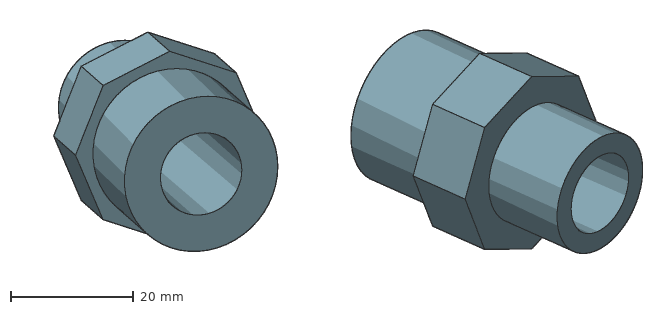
import cadquery as cq

total_length = 43.0
spigot_length = 15.05
collar_length = 11.5
socket_length = total_length - spigot_length - collar_length

spigot_diameter = 20.95
socket_diameter = 26.45
bore_diameter = 14.0
collar_across_corners = 32.45
collar_sides = 8

collar_start = spigot_length
collar_end = collar_start + collar_length


def section_plane(x):
    """Plane across the axis at position x, facing +X."""
    return cq.Workplane("YZ", origin=(x, 0, 0))


spigot = section_plane(0).circle(spigot_diameter / 2).extrude(spigot_length)

collar = section_plane(collar_start).polygon(collar_sides, collar_across_corners).extrude(collar_length)

socket = section_plane(collar_end).circle(socket_diameter / 2).extrude(socket_length)

bore = section_plane(0).circle(bore_diameter / 2).extrude(total_length)

result = spigot.union(collar).union(socket).cut(bore)